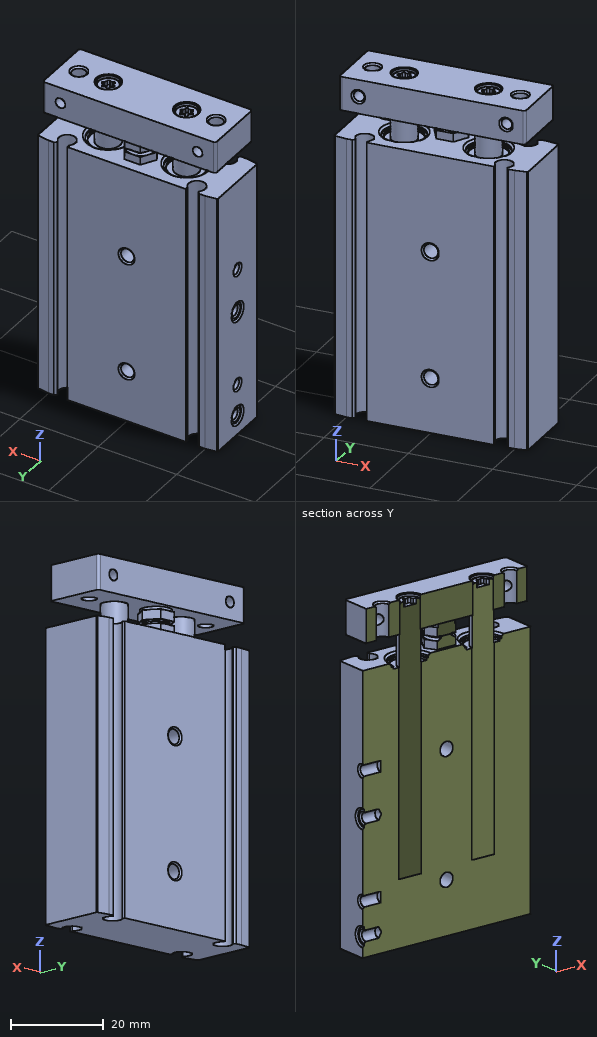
import cadquery as cq
import math

TOTAL_HEIGHT = 80.0

HOUSING_WIDTH = 46.0
HOUSING_DEPTH = 17.0
HOUSING_HEIGHT = 66.0
CORNER_CHAMFER = 0.2
SHOULDER_DROP = 0.4
SHOULDER_X = 19.9

SLOT_X = 16.6
SLOT_MOUTH = 3.0
SLOT_DIAMETER = 4.2
SLOT_CENTRE_DEPTH = 2.2
SLOT_LIP_CHAMFER = 0.5

MOUNT_HEIGHTS = (13.0, 43.0)
FRONT_HOLE_DIAMETER = 3.4
FRONT_HOLE_MOUTH = 4.2
SIDE_HOLE_DIAMETER = 2.5
SIDE_HOLE_MOUTH = 3.3
SIDE_HOLE_DEPTH = 5.0

PORT_HEIGHTS = (5.0, 32.0)
PORT_MOUTH = 5.0
PORT_DIAMETER = 4.2
PORT_DEPTH = 0.4
PORT_BORE_MOUTH = 3.3
PORT_BORE_DIAMETER = 2.5
PORT_BORE_DEPTH = 4.0
PORT_TIP_ANGLE = 118.0

ROD_X = 10.0
ROD_DIAMETER = 6.0
ROD_BOTTOM = 16.0
ROD_TIP_DIAMETER = 5.5
ROD_TIP_RECESS = 0.6
ROD_TIP_CHAMFER = 0.3
SOCKET_CORE_DIAMETER = 2.4
SOCKET_LOBE_DIAMETER = 0.6
SOCKET_OUTER_DIAMETER = 3.2
SOCKET_LOBES = 6
SOCKET_DEPTH = 1.2
GLAND_MOUTH = 11.0
GLAND_DIAMETER = 10.0
GLAND_DEPTH = 1.0
SEAL_DIAMETER = 9.0
SEAL_DEPTH = 0.5

PLATE_WIDTH = 44.2
PLATE_DEPTH = 15.0
PLATE_HEIGHT = 8.0
PLATE_CORNER_RADIUS = 0.6
PLATE_HOLE_X = 17.5
PLATE_CROSS_DIAMETER = 2.5
PLATE_CROSS_MOUTH = 3.3
PLATE_TOP_DIAMETER = 3.4
PLATE_TOP_MOUTH = 4.2
ROD_SEAT_MOUTH = 6.0

STOP_Y = 2.6
HEX_ACROSS_FLATS = 7.0
STOP_GAP = 0.2
BOLT_HEAD_HEIGHT = 2.0
BOLT_CONE_HEIGHT = 0.6
BOLT_NECK_DIAMETER = 6.0
BOLT_NECK_HEIGHT = 0.4
BOLT_SHANK_DIAMETER = 4.0
NUT_FACE_HEIGHT = 0.6

HALF_WIDTH = HOUSING_WIDTH / 2
HALF_DEPTH = HOUSING_DEPTH / 2
PLATE_BOTTOM = TOTAL_HEIGHT - PLATE_HEIGHT
ROD_TOP = TOTAL_HEIGHT - ROD_TIP_RECESS
SHOULDER_Y = HALF_DEPTH - SHOULDER_DROP
BOLT_BOTTOM = HOUSING_HEIGHT + STOP_GAP
CONE_BOTTOM = BOLT_BOTTOM + BOLT_HEAD_HEIGHT
NECK_BOTTOM = CONE_BOTTOM + BOLT_CONE_HEIGHT
NUT_BOTTOM = NECK_BOTTOM + BOLT_NECK_HEIGHT

UP = (0, 0, 1)
DOWN = (0, 0, -1)


def cylinder(diameter, length, start, direction):
    solid = cq.Solid.makeCylinder(diameter / 2, length, cq.Vector(*start), cq.Vector(*direction))
    return cq.Workplane(solid)


def cone(start_diameter, end_diameter, length, start, direction):
    solid = cq.Solid.makeCone(
        start_diameter / 2, end_diameter / 2, length, cq.Vector(*start), cq.Vector(*direction)
    )
    return cq.Workplane(solid)


def countersunk(diameter, mouth, depth, start, direction):
    """Hole cutter with a 45 degree countersink at its start."""
    sink = cone(mouth, diameter, (mouth - diameter) / 2, start, direction)
    return cylinder(diameter, depth, start, direction).union(sink)


def hexagon(across_flats, bottom, height, x, y):
    """Hexagonal prism with two flats facing -Y and +Y."""
    across_corners = across_flats / math.cos(math.pi / 6)
    return cq.Workplane("XY", origin=(x, y, bottom)).polygon(6, across_corners).extrude(height)


def housing_blank():
    quarter = [
        (HALF_WIDTH, SHOULDER_Y - CORNER_CHAMFER),
        (HALF_WIDTH - CORNER_CHAMFER, SHOULDER_Y),
        (SHOULDER_X, HALF_DEPTH),
    ]
    back = quarter + [(-x, y) for x, y in reversed(quarter)]
    front = [(-x, -y) for x, y in back]
    return cq.Workplane("XY").polyline(back + front).close().extrude(HOUSING_HEIGHT)


def sensor_slot(x_side, y_side):
    channel_y = HALF_DEPTH - SLOT_CENTRE_DEPTH
    inner_x = SLOT_X - SLOT_MOUTH / 2
    outer_x = SLOT_X + SLOT_MOUTH / 2
    mouth_points = [
        (inner_x, channel_y),
        (inner_x, HALF_DEPTH),
        (outer_x + SLOT_LIP_CHAMFER, HALF_DEPTH),
        (outer_x, HALF_DEPTH - SLOT_LIP_CHAMFER),
        (outer_x, channel_y),
    ]
    placed = [(x_side * x, y_side * y) for x, y in mouth_points]
    mouth = cq.Workplane("XY").polyline(placed).close().extrude(HOUSING_HEIGHT)
    channel = cylinder(SLOT_DIAMETER, HOUSING_HEIGHT, (x_side * SLOT_X, y_side * channel_y, 0), UP)
    return mouth.union(channel)


def front_hole(height):
    from_front = countersunk(
        FRONT_HOLE_DIAMETER, FRONT_HOLE_MOUTH, HALF_DEPTH, (0, -HALF_DEPTH, height), (0, 1, 0)
    )
    from_back = countersunk(
        FRONT_HOLE_DIAMETER, FRONT_HOLE_MOUTH, HALF_DEPTH, (0, HALF_DEPTH, height), (0, -1, 0)
    )
    return from_front.union(from_back)


def side_hole(height):
    return countersunk(
        SIDE_HOLE_DIAMETER, SIDE_HOLE_MOUTH, SIDE_HOLE_DEPTH, (-HALF_WIDTH, 0, height), (1, 0, 0)
    )


def air_port(height):
    inward = (1, 0, 0)
    floor_x = -HALF_WIDTH + PORT_DEPTH
    tip_length = PORT_BORE_DIAMETER / 2 / math.tan(math.radians(PORT_TIP_ANGLE / 2))
    port = countersunk(PORT_DIAMETER, PORT_MOUTH, PORT_DEPTH, (-HALF_WIDTH, 0, height), inward)
    bore = countersunk(
        PORT_BORE_DIAMETER, PORT_BORE_MOUTH, PORT_BORE_DEPTH, (floor_x, 0, height), inward
    )
    tip = cone(PORT_BORE_DIAMETER, 0, tip_length, (floor_x + PORT_BORE_DEPTH, 0, height), inward)
    return port.union(bore).union(tip)


def rod_bore(x):
    mouth = (x, 0, HOUSING_HEIGHT)
    gland = countersunk(GLAND_DIAMETER, GLAND_MOUTH, GLAND_DEPTH, mouth, DOWN)
    seal_seat = cylinder(SEAL_DIAMETER, GLAND_DEPTH + SEAL_DEPTH, mouth, DOWN)
    bore = cylinder(ROD_DIAMETER, HOUSING_HEIGHT - ROD_BOTTOM, mouth, DOWN)
    return gland.union(seal_seat).union(bore)


def make_housing():
    housing = housing_blank()
    for x_side in (-1, 1):
        for y_side in (-1, 1):
            housing = housing.cut(sensor_slot(x_side, y_side))
        housing = housing.cut(rod_bore(x_side * ROD_X))
    for height in MOUNT_HEIGHTS:
        housing = housing.cut(front_hole(height)).cut(side_hole(height))
    for height in PORT_HEIGHTS:
        housing = housing.cut(air_port(height))
    return housing


def make_end_plate():
    plate = (
        cq.Workplane("XY", origin=(0, 0, PLATE_BOTTOM))
        .rect(PLATE_WIDTH, PLATE_DEPTH)
        .extrude(PLATE_HEIGHT)
        .edges("|Z")
        .fillet(PLATE_CORNER_RADIUS)
    )
    cross_z = PLATE_BOTTOM + PLATE_HEIGHT / 2
    for side in (-1, 1):
        hole_x = side * PLATE_HOLE_X
        cross_start = (hole_x, -PLATE_DEPTH / 2, cross_z)
        cross_hole = countersunk(
            PLATE_CROSS_DIAMETER, PLATE_CROSS_MOUTH, PLATE_DEPTH, cross_start, (0, 1, 0)
        )
        top_hole = countersunk(
            PLATE_TOP_DIAMETER, PLATE_TOP_MOUTH, PLATE_HEIGHT, (hole_x, 0, TOTAL_HEIGHT), DOWN
        )
        rod_seat = countersunk(
            ROD_TIP_DIAMETER, ROD_SEAT_MOUTH, PLATE_HEIGHT, (side * ROD_X, 0, TOTAL_HEIGHT), DOWN
        )
        plate = plate.cut(cross_hole).cut(top_hole).cut(rod_seat)
    return plate


def drive_socket(x):
    floor_z = ROD_TOP - SOCKET_DEPTH
    socket = cylinder(SOCKET_CORE_DIAMETER, SOCKET_DEPTH, (x, 0, floor_z), UP)
    lobe_radius = (SOCKET_OUTER_DIAMETER - SOCKET_LOBE_DIAMETER) / 2
    for index in range(SOCKET_LOBES):
        angle = index * 2 * math.pi / SOCKET_LOBES
        centre = (x + lobe_radius * math.cos(angle), lobe_radius * math.sin(angle), floor_z)
        socket = socket.union(cylinder(SOCKET_LOBE_DIAMETER, SOCKET_DEPTH, centre, UP))
    return socket


def make_rod(x):
    shaft = cylinder(ROD_DIAMETER, PLATE_BOTTOM - ROD_BOTTOM, (x, 0, ROD_BOTTOM), UP)
    tip = cylinder(ROD_TIP_DIAMETER, ROD_TOP - PLATE_BOTTOM, (x, 0, PLATE_BOTTOM), UP)
    tip = tip.faces(">Z").chamfer(ROD_TIP_CHAMFER)
    return shaft.union(tip).cut(drive_socket(x))


def make_stop_bolt():
    head = hexagon(HEX_ACROSS_FLATS, BOLT_BOTTOM, BOLT_HEAD_HEIGHT, 0, STOP_Y)
    taper = cone(HEX_ACROSS_FLATS, BOLT_NECK_DIAMETER, BOLT_CONE_HEIGHT, (0, STOP_Y, CONE_BOTTOM), UP)
    neck = cylinder(BOLT_NECK_DIAMETER, BOLT_NECK_HEIGHT, (0, STOP_Y, NECK_BOTTOM), UP)
    shank = cylinder(BOLT_SHANK_DIAMETER, PLATE_BOTTOM - NUT_BOTTOM, (0, STOP_Y, NUT_BOTTOM), UP)
    return head.union(taper).union(neck).union(shank)


def make_lock_nut():
    nut_height = PLATE_BOTTOM - NUT_BOTTOM
    hex_height = nut_height - NUT_FACE_HEIGHT
    body = hexagon(HEX_ACROSS_FLATS, NUT_BOTTOM, hex_height, 0, STOP_Y)
    face = cylinder(HEX_ACROSS_FLATS, NUT_FACE_HEIGHT, (0, STOP_Y, NUT_BOTTOM + hex_height), UP)
    hole = cylinder(BOLT_SHANK_DIAMETER, nut_height, (0, STOP_Y, NUT_BOTTOM), UP)
    return body.union(face).cut(hole)


housing = make_housing()
end_plate = make_end_plate()
rods = [make_rod(side * ROD_X) for side in (-1, 1)]
stop_bolt = make_stop_bolt()
lock_nut = make_lock_nut()

result = cq.Compound.makeCompound(
    [housing.val(), end_plate.val(), *[rod.val() for rod in rods], stop_bolt.val(), lock_nut.val()]
)